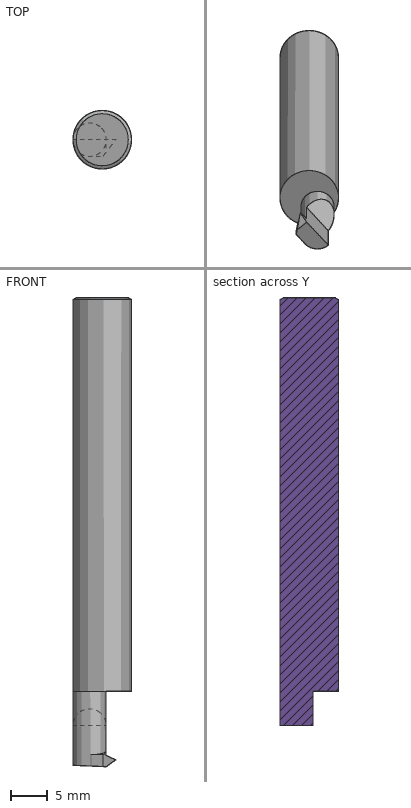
import cadquery as cq
import math

total_length = 63.5
shank_diameter = 7.95
shank_bottom = 10.2
bevel_width = 0.45
bevel_height = 0.25

neck_diameter = 4.5
end_rise = 0.2
relief_top = 5.6

tip_x = 1.85
tip_z = 0.95
heel_x = 0.095
tooth_front_top = 1.65
tooth_back_top = 2.15
flat_start_x = -1.5
lower_edge_x = 0.54
upper_edge_z = 1.555

shank_radius = shank_diameter / 2
neck_radius = neck_diameter / 2
neck_x = neck_radius - shank_radius
neck_side_x = neck_x + neck_radius
tooth_front_y = -math.sqrt(neck_radius**2 - (flat_start_x - neck_x) ** 2)


def make_shank():
    bevel_start = total_length - bevel_height
    return (
        cq.Workplane("XZ")
        .moveTo(0, shank_bottom)
        .lineTo(shank_radius, shank_bottom)
        .lineTo(shank_radius, bevel_start)
        .lineTo(shank_radius - bevel_width, total_length)
        .lineTo(0, total_length)
        .close()
        .revolve(360, (0, 0, 0), (0, 1, 0))
    )


def make_neck():
    neck = (
        cq.Workplane("XY", origin=(neck_x, 0, 0))
        .circle(neck_radius)
        .extrude(shank_bottom)
    )
    relief = (
        cq.Workplane("YZ", origin=(neck_x, 0, 0))
        .moveTo(0, 0)
        .lineTo(neck_diameter, 0)
        .lineTo(neck_diameter, relief_top + neck_diameter)
        .lineTo(0, relief_top)
        .close()
        .extrude(neck_radius, both=True)
    )
    return neck.cut(relief)


def make_tooth():
    rake = (
        cq.Workplane("XZ")
        .polyline([
            (flat_start_x, 0),
            (lower_edge_x, 0),
            (tip_x, tip_z),
            (neck_side_x, upper_edge_z),
            (neck_side_x, tooth_back_top),
            (flat_start_x, tooth_back_top),
        ])
        .close()
        .extrude(neck_radius)
    )
    plan = (
        cq.Workplane("XY")
        .polyline([(tip_x, 0), (heel_x, tooth_front_y), (flat_start_x, tooth_front_y), (flat_start_x, 0)])
        .close()
        .extrude(tooth_back_top)
    )
    clearance = (
        cq.Workplane("YZ", origin=(flat_start_x, 0, 0))
        .polyline([
            (0, 0),
            (0, tooth_back_top),
            (tooth_front_y, tooth_front_top),
            (tooth_front_y, 0),
        ])
        .close()
        .extrude(tip_x - flat_start_x)
    )
    return rake.intersect(plan).intersect(clearance)


def make_end_slope():
    """Wedge below the slightly tilted end face."""
    return (
        cq.Workplane("XZ")
        .polyline([(-shank_radius, 0), (lower_edge_x, 0), (-shank_radius, end_rise)])
        .close()
        .extrude(neck_diameter, both=True)
    )


result = make_shank().union(make_neck()).union(make_tooth()).cut(make_end_slope())